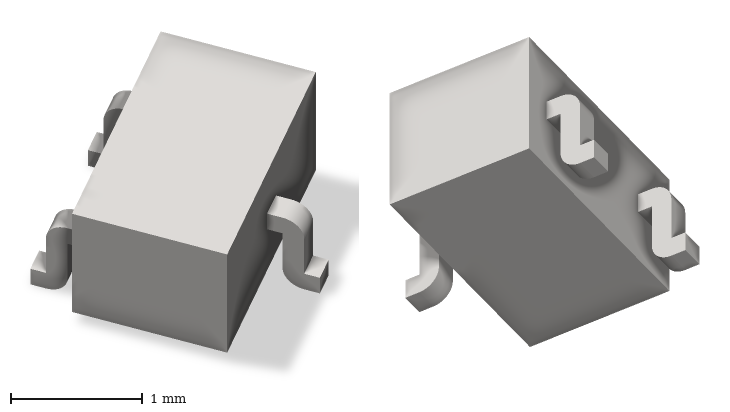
import cadquery as cq

span_x = 2.1
body_length = 2.0
total_height = 1.2

body_width = 1.25
standoff = 0.1

lead_width = 0.2
lead_thickness = 0.175
lead_top = 0.737
foot_length = 0.125
lead_pitch = 1.3

body_side = body_width / 2
foot_tip = span_x / 2
upright_outer = foot_tip - foot_length
upright_inner = upright_outer - lead_thickness


def make_housing():
    """Plain block raised above the seating plane, centred in X and Y."""
    height = total_height - standoff
    return (
        cq.Workplane("XY")
        .workplane(offset=standoff)
        .box(body_width, body_length, height, centered=(True, True, False))
    )


def make_lead(side, y_center):
    """Gull-wing lead; side is +1 or -1 for the +X or -X face of the housing.

    Each bend has a sharp inside corner and an outside radius equal to the lead thickness.
    """
    profile = (
        cq.Workplane("XZ", origin=(0, y_center, 0))
        .moveTo(side * body_side, lead_top)
        .lineTo(side * upright_inner, lead_top)
        .radiusArc((side * upright_outer, lead_top - lead_thickness), side * lead_thickness)
        .lineTo(side * upright_outer, lead_thickness)
        .lineTo(side * foot_tip, lead_thickness)
        .lineTo(side * foot_tip, 0)
        .lineTo(side * upright_outer, 0)
        .radiusArc((side * upright_inner, lead_thickness), side * lead_thickness)
        .lineTo(side * upright_inner, lead_top - lead_thickness)
        .lineTo(side * body_side, lead_top - lead_thickness)
        .close()
    )
    return profile.extrude(lead_width / 2, both=True)


lead_places = [
    (-1, -lead_pitch / 2),
    (-1, lead_pitch / 2),
    (1, 0),
]

housing = make_housing()
leads = [make_lead(side, y_center).val() for side, y_center in lead_places]

result = cq.Compound.makeCompound([housing.val(), *leads])